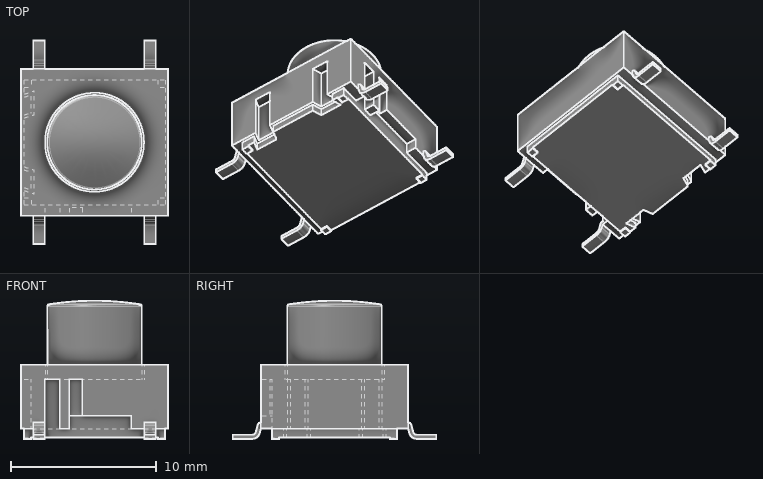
import cadquery as cq
import math

housing_side = 10.1
housing_bottom = 0.71
housing_top = 5.11
half_side = housing_side / 2

base_length_x = 9.7
base_length_y = 8.6
base_bottom = 0.1
pad_side = 0.5
base_inset_x = (housing_side - base_length_x) / 2
base_inset_y = (housing_side - base_length_y) / 2

button_diameter = 6.5
button_top = 9.5
dome_height = 0.27
button_edge_radius = 0.15
well_diameter = 6.8
well_depth = 1.0

lead_span = 14.0
lead_width = 0.8
lead_thickness = 0.3
lead_center_x = 3.81
lead_foot_length = 1.35
lead_bend_radius = 0.25
lead_bend_angle = math.radians(75)
lead_top = 1.15
lead_embed = 0.42

recess_top = 4.1
side_slot_inner_y = 1.82
side_slot_outer_y = 3.04
side_slot_depth = 0.69
side_slot_slant = math.radians(18)
deep_slot_left = lead_width / 2 - lead_center_x
deep_slot_right = -2.4
notch_left = -1.74
notch_right = 2.52
notch_top = 1.6
shallow_slot_right = -0.83
shallow_slot_depth = 0.6
cut_margin = 0.14


def box_between(x0, x1, y0, y1, z0, z1):
    """Box given by its limits along each axis."""
    return cq.Workplane("XY").box(x1 - x0, y1 - y0, z1 - z0, centered=False).translate((x0, y0, z0))


def side_slots(inset, z0, z1):
    """Pair of slanted slots for the -X face; a positive inset offsets their walls inward."""
    slope = math.tan(side_slot_slant)
    wall_shift = inset / math.cos(side_slot_slant)
    outside_x = -half_side - cut_margin
    floor_x = -half_side + side_slot_depth + inset

    def wall_y(face_y, x):
        return face_y + slope * (x + half_side)

    inner_y = side_slot_inner_y - wall_shift
    outer_y = side_slot_outer_y + wall_shift
    slot = (
        cq.Workplane("XY")
        .workplane(offset=z0)
        .moveTo(outside_x, wall_y(inner_y, outside_x))
        .lineTo(floor_x, wall_y(inner_y, floor_x))
        .lineTo(floor_x, wall_y(outer_y, floor_x))
        .lineTo(outside_x, wall_y(outer_y, outside_x))
        .close()
        .extrude(z1 - z0)
    )
    return slot.union(slot.mirror("XZ"))


def make_housing():
    block = box_between(-half_side, half_side, -half_side, half_side, housing_bottom, housing_top)
    well = (
        cq.Workplane("XY")
        .workplane(offset=housing_top - well_depth)
        .circle(well_diameter / 2)
        .extrude(well_depth)
    )
    deep_floor = -half_side + base_inset_y
    shallow_floor = -half_side + shallow_slot_depth
    deep_slot = box_between(
        deep_slot_left, deep_slot_right, -half_side, deep_floor, housing_bottom, recess_top
    )
    shallow_slot = box_between(
        notch_left, shallow_slot_right, -half_side, shallow_floor, notch_top, recess_top
    )
    notch = box_between(notch_left, notch_right, -half_side, deep_floor, housing_bottom, notch_top)
    block = block.cut(well).cut(deep_slot).cut(shallow_slot).cut(notch)
    return block.cut(side_slots(0, housing_bottom, recess_top))


def make_base():
    half_x = base_length_x / 2
    half_y = base_length_y / 2
    plate = box_between(-half_x, half_x, -half_y, half_y, base_bottom, housing_bottom)
    plate = plate.cut(side_slots(base_inset_x, base_bottom, housing_bottom))
    pads = (
        cq.Workplane("XY")
        .rect(base_length_x - pad_side, base_length_y - pad_side, forConstruction=True)
        .vertices()
        .rect(pad_side, pad_side)
        .extrude(base_bottom)
    )
    return plate.union(pads)


def make_button():
    radius = button_diameter / 2
    shoulder = button_top - dome_height
    dome_radius = (radius**2 + dome_height**2) / (2 * dome_height)
    half_angle = math.asin(radius / dome_radius) / 2
    dome_middle = (
        dome_radius * math.sin(half_angle),
        button_top - dome_radius * (1 - math.cos(half_angle)),
    )
    button = (
        cq.Workplane("XZ")
        .moveTo(0, housing_top - well_depth)
        .lineTo(radius, housing_top - well_depth)
        .lineTo(radius, shoulder)
        .threePointArc(dome_middle, (0, button_top))
        .close()
        .revolve(360, (0, 0, 0), (0, 1, 0))
    )
    rim = button.edges("%CIRCLE").edges(cq.selectors.NearestToPointSelector((0, 0, shoulder)))
    return rim.fillet(button_edge_radius)


def make_lead():
    """Lead on the +Y side, centered on X = 0."""
    foot_tip = lead_span / 2
    bend_y = foot_tip - lead_foot_length
    outer_radius = lead_bend_radius + lead_thickness
    buried_y = half_side - lead_embed

    def arc_point(center, radius, angle):
        """Point on a bend, with the angle measured from straight down toward -Y."""
        return (center[0] - radius * math.sin(angle), center[1] - radius * math.cos(angle))

    low_center = (bend_y, outer_radius)
    inner_end = arc_point(low_center, lead_bend_radius, lead_bend_angle)
    outer_end = arc_point(low_center, outer_radius, lead_bend_angle)

    bend_rise = lead_bend_radius * (1 - math.cos(lead_bend_angle))
    leg_rise = lead_top - bend_rise - inner_end[1]
    leg_run = leg_rise / math.tan(lead_bend_angle)
    leg_top = (inner_end[0] - leg_run, inner_end[1] + leg_rise)
    high_center = (
        leg_top[0] - lead_bend_radius * math.sin(lead_bend_angle),
        lead_top - lead_bend_radius,
    )
    high_middle = arc_point(high_center, lead_bend_radius, math.pi + lead_bend_angle / 2)

    underside_z = lead_top - lead_thickness
    underside_y = outer_end[0] - (underside_z - outer_end[1]) / math.tan(lead_bend_angle)
    return (
        cq.Workplane("YZ")
        .workplane(offset=-lead_width / 2)
        .moveTo(foot_tip, 0)
        .lineTo(foot_tip, lead_thickness)
        .lineTo(bend_y, lead_thickness)
        .threePointArc(arc_point(low_center, lead_bend_radius, lead_bend_angle / 2), inner_end)
        .lineTo(*leg_top)
        .threePointArc(high_middle, (high_center[0], lead_top))
        .lineTo(buried_y, lead_top)
        .lineTo(buried_y, underside_z)
        .lineTo(underside_y, underside_z)
        .lineTo(*outer_end)
        .threePointArc(arc_point(low_center, outer_radius, lead_bend_angle / 2), (bend_y, 0))
        .close()
        .extrude(lead_width)
    )


result = make_housing().union(make_base()).union(make_button())
back_lead = make_lead()
front_lead = back_lead.mirror("XZ")
for lead_x in (-lead_center_x, lead_center_x):
    for lead in (back_lead, front_lead):
        result = result.union(lead.translate((lead_x, 0, 0)))